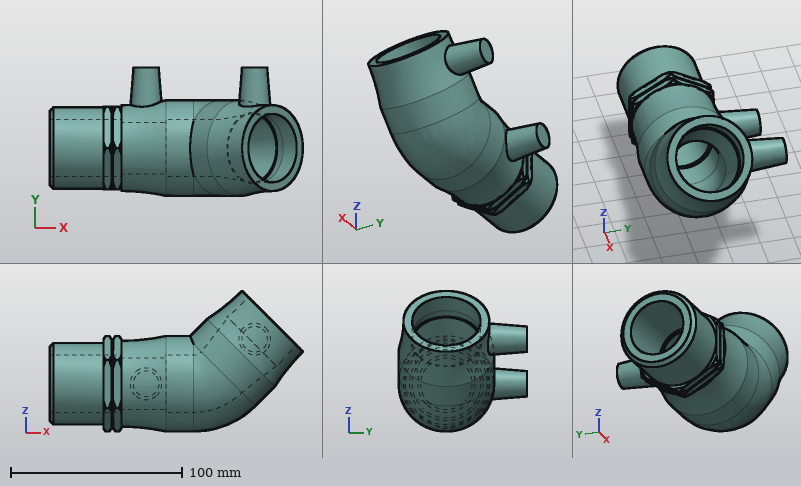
import cadquery as cq
import math

BEND_ANGLE = 45.0
body_radius = 56.0 / 2
end_radius = 25.2
taper_length = 26.0

spigot_radius = 47.8 / 2
spigot_chamfer = 2.4
nut_starts = (31.4, 37.1)
nut_width = 4.9
nut_face_radius = 26.0
nut_chamfer = 1.5
neck_radius = 40.0 / 2

bend_start = 84.0
bend_tangent = 9.6
bend_radius = bend_tangent / math.tan(math.radians(BEND_ANGLE / 2))
corner_x = bend_start + bend_tangent
branch_length = 51.7

flow_radius = 33.5 / 2
throat_radius = 30.0 / 2
socket_radius = 40.0 / 2
relief_radius = 20.7
socket_depth = 16.9
relief_start = 11.2

pin_xs = (56.4, 119.7)
pin_tip_y = 47.0
pin_tip_radius = 7.47
pin_wide_y = 25.2
pin_wide_radius = 9.25

body_start = nut_starts[-1] + nut_width
straight_start = body_start + taper_length


def cylinder_x(x_start, x_end, radius):
    return cq.Workplane("YZ", origin=(x_start, 0, 0)).circle(radius).extrude(x_end - x_start)


def tapered_barrel(x_start, x_taper, x_end):
    """Barrel along X from a narrow end, widening on an arc to the full body radius."""
    rise = body_radius - end_radius
    length = x_taper - x_start
    arc_radius = (length**2 + rise**2) / (2 * rise)
    half_angle = math.atan2(rise, abs(length))
    mid_x = x_start + math.copysign(arc_radius * math.sin(half_angle), length)
    mid_radius = end_radius + arc_radius * (1 - math.cos(half_angle))
    profile = (
        cq.Workplane("XZ")
        .moveTo(x_start, 0)
        .lineTo(x_start, end_radius)
        .threePointArc((mid_x, mid_radius), (x_taper, body_radius))
        .lineTo(x_end, body_radius)
        .lineTo(x_end, 0)
        .close()
    )
    return profile.revolve(360, (0, 0, 0), (1, 0, 0))


def tilt_to_branch(shape):
    """Swing a shape laid along the main axis onto the branch axis."""
    return shape.rotate((corner_x, 0, 0), (corner_x, 1, 0), -BEND_ANGLE)


def bend_solid(radius):
    """Swept bend; where the tube is wider than the bend, only its outer part is swept."""
    plane = cq.Workplane("YZ", origin=(bend_start, 0, 0))
    if radius > bend_radius:
        half_chord = math.sqrt(radius**2 - bend_radius**2)
        section = (
            plane.moveTo(half_chord, bend_radius)
            .threePointArc((0, -radius), (-half_chord, bend_radius))
            .close()
        )
    else:
        section = plane.circle(radius)
    return section.revolve(BEND_ANGLE, (0, bend_radius, 0), (-1, bend_radius, 0))


def hex_nut(x_start):
    """Hexagon with corners at top and bottom, chamfered on both faces."""
    hexagon = (
        cq.Workplane("YZ", origin=(x_start, 0, 0))
        .polygon(6, 2 * body_radius)
        .extrude(nut_width)
        .rotate((0, 0, 0), (1, 0, 0), 90)
    )
    x_end = x_start + nut_width
    envelope = (
        cq.Workplane("XZ")
        .polyline([
            (x_start, 0),
            (x_start, nut_face_radius),
            (x_start + nut_chamfer, body_radius),
            (x_end - nut_chamfer, body_radius),
            (x_end, nut_face_radius),
            (x_end, 0),
        ])
        .close()
        .revolve(360, (0, 0, 0), (1, 0, 0))
    )
    return hexagon.intersect(envelope)


def terminal_pin(x):
    """Tapered pin along +Y, rooted at the pipe axis."""
    z = max(0, x - corner_x) * math.tan(math.radians(BEND_ANGLE))
    slope = (pin_wide_radius - pin_tip_radius) / (pin_tip_y - pin_wide_y)
    root_radius = pin_tip_radius + slope * pin_tip_y
    cone = cq.Solid.makeCone(
        root_radius, pin_tip_radius, pin_tip_y, cq.Vector(x, 0, z), cq.Vector(0, 1, 0)
    )
    return cq.Workplane(cone)


spigot = cylinder_x(0, nut_starts[0], spigot_radius).faces("<X").chamfer(spigot_chamfer)
result = spigot.union(cylinder_x(nut_starts[0], body_start, neck_radius))
for nut_start in nut_starts:
    result = result.union(hex_nut(nut_start))

branch_end = corner_x + branch_length
branch_start = corner_x + bend_tangent
main_barrel = tapered_barrel(body_start, straight_start, bend_start)
branch_barrel = tapered_barrel(branch_end, branch_end - taper_length, branch_start)
result = result.union(main_barrel).union(bend_solid(body_radius)).union(tilt_to_branch(branch_barrel))
for pin_x in pin_xs:
    result = result.union(terminal_pin(pin_x))

result = result.cut(cylinder_x(0, body_start, flow_radius))
result = result.cut(cylinder_x(body_start, straight_start, throat_radius))
result = result.cut(cylinder_x(straight_start, bend_start, flow_radius))
result = result.cut(bend_solid(flow_radius))

socket_bottom = branch_end - socket_depth
branch_passage = (
    cq.Workplane("XZ")
    .polyline([
        (branch_start, 0),
        (branch_start, flow_radius),
        (socket_bottom, socket_radius),
        (socket_bottom, relief_radius),
        (branch_end - relief_start, socket_radius),
        (branch_end, socket_radius),
        (branch_end, 0),
    ])
    .close()
    .revolve(360, (0, 0, 0), (1, 0, 0))
)
result = result.cut(tilt_to_branch(branch_passage))